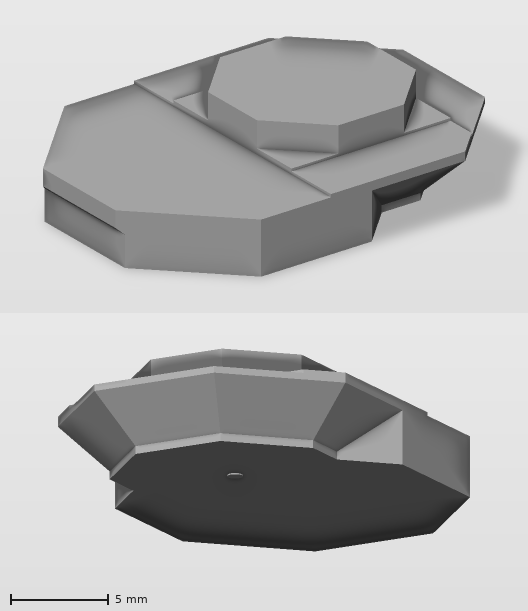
import cadquery as cq

width = 17.0
length = 23.4
rear_y = 8.47
front_y = rear_y - length
rear_chamfer = 4.95
front_chamfer = 5.35

bevel_bottom_z = 0.42
bevel_top_z = 2.9
body_top_z = 3.25
strip_top_z = 3.45
pad_top_z = 3.6
cap_top_z = 5.22

undercut = bevel_top_z - bevel_bottom_z
undercut_start_y = -2.48
core_front_y = undercut_start_y - 2 * undercut

lip_overhang = 0.35
lip_bottom_z = 2.25

cap_width = 10.2
cap_chamfer = 3.0
nub_diameter = 0.82
nub_height = 0.07

half_width = width / 2


def rear_outline(end_y):
    """Points of the chamfered rear end, cut off square at end_y."""
    return [
        (-half_width, end_y),
        (half_width, end_y),
        (half_width, rear_y - rear_chamfer),
        (half_width - rear_chamfer, rear_y),
        (-half_width + rear_chamfer, rear_y),
        (-half_width, rear_y - rear_chamfer),
    ]


def prism(points, bottom_z, top_z):
    return cq.Workplane("XY").workplane(offset=bottom_z).polyline(points).close().extrude(top_z - bottom_z)


def make_top_plate():
    """Full outline above the undercut."""
    front_half = half_width - front_chamfer
    front_points = [
        (-half_width, front_y + front_chamfer),
        (-front_half, front_y),
        (front_half, front_y),
        (half_width, front_y + front_chamfer),
    ]
    rear_points = rear_outline(undercut_start_y)[2:]
    return prism(front_points + rear_points, bevel_top_z, body_top_z)


def make_front_block():
    """Full-depth front block with vertical diagonal walls at its rear."""
    front_half = half_width - front_chamfer
    inner_half = half_width - undercut
    points = [
        (-front_half, front_y),
        (front_half, front_y),
        (half_width, front_y + front_chamfer),
        (half_width, undercut_start_y),
        (inner_half, undercut_start_y + undercut),
        (-inner_half, undercut_start_y + undercut),
        (-half_width, undercut_start_y),
        (-half_width, front_y + front_chamfer),
    ]
    return prism(points, 0, bevel_top_z)


def make_rear_core():
    """Rear end narrowing downward, with a short vertical foot."""
    outline = cq.Workplane("XY").workplane(offset=bevel_top_z).polyline(rear_outline(core_front_y)).close()
    bevel = outline.extrude(-undercut, taper=45)
    foot = bevel.faces("<Z").wires().toPending().workplane().extrude(bevel_bottom_z, combine=False)
    return bevel.union(foot)


def make_lip_cut():
    """Recess below the front lip, with a 45 degree upper face."""
    profile = [
        (front_y, 0),
        (front_y + lip_overhang, 0),
        (front_y + lip_overhang, lip_bottom_z - lip_overhang),
        (front_y, lip_bottom_z),
    ]
    return cq.Workplane("YZ").polyline(profile).close().extrude(half_width, both=True)


def make_strip():
    """Raised strip across the body, clipped by the rear chamfers."""
    outline = prism(rear_outline(-cap_width / 2), body_top_z, strip_top_z)
    limits = cq.Workplane("XY").box(width, cap_width, 2 * strip_top_z)
    return outline.intersect(limits)


def make_cap():
    """Square pad carrying the octagonal cap."""
    pad = cq.Workplane("XY").workplane(offset=strip_top_z)
    pad = pad.rect(cap_width, cap_width).extrude(pad_top_z - strip_top_z)
    cap = cq.Workplane("XY").workplane(offset=pad_top_z)
    cap = cap.rect(cap_width, cap_width).extrude(cap_top_z - pad_top_z)
    return pad.union(cap.edges("|Z").chamfer(cap_chamfer))


def make_nub():
    return cq.Workplane("XY").circle(nub_diameter / 2).extrude(-nub_height)


body = make_front_block().union(make_rear_core()).union(make_top_plate())
body = body.cut(make_lip_cut())
result = body.union(make_strip()).union(make_cap()).union(make_nub())